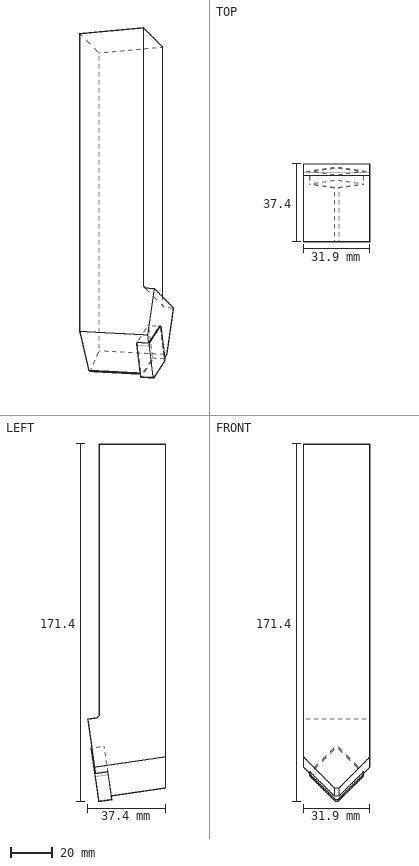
import cadquery as cq
import math

total_height = 171.4
shank_size = 31.9
head_depth = 37.4
head_top_height = 39.5
tilt = 8.3
shoulder_fillet = 1.7

insert_side = 19.0
insert_thickness = 6.3
insert_corner_radius = 1.2
insert_tip_depth = 32.0

flank_clearance = 0.9
nose_flat_width = 2.2

tilt_sin = math.sin(math.radians(tilt))
tilt_cos = math.cos(math.radians(tilt))
tilt_tan = math.tan(math.radians(tilt))
half_width = shank_size / 2

tilted_plane = cq.Plane(
    origin=(0, insert_tip_depth, 0),
    xDir=(-1, 0, 0),
    normal=(0, tilt_cos, -tilt_sin),
)

sharp_corner = -insert_corner_radius * (math.sqrt(2) - 1)
insert_center = sharp_corner + insert_side / math.sqrt(2)


def make_insert():
    """Square insert standing on one rounded corner, lying behind the cutting face."""
    return (
        cq.Workplane(tilted_plane)
        .center(0, insert_center)
        .transformed(rotate=(0, 0, 45))
        .rect(insert_side, insert_side)
        .extrude(-insert_thickness)
        .edges(cq.selectors.ParallelDirSelector(tilted_plane.zDir))
        .fillet(insert_corner_radius)
    )


def make_blank():
    """Shank and head in side profile, with the head standing out behind the shank."""
    shoulder_height = head_top_height + (head_depth - shank_size) * tilt_tan
    foot_depth = head_depth - head_top_height * tilt_tan
    profile = [
        (0, 0),
        (foot_depth, 0),
        (head_depth, head_top_height),
        (shank_size, shoulder_height),
        (shank_size, total_height),
        (0, total_height),
    ]
    blank = cq.Workplane("YZ").polyline(profile).close().extrude(half_width, both=True)
    inner_corner = cq.selectors.NearestToPointSelector((0, shank_size, shoulder_height))
    return blank.edges(inner_corner).fillet(shoulder_fillet)


def make_head_envelope():
    """Pointed prism, square to the tilted face, that bounds the holder from below."""
    flank_apex = sharp_corner + flank_clearance * math.sqrt(2)
    nose_half = nose_flat_width / 2
    outline = [
        (-nose_half, flank_apex + nose_half),
        (nose_half, flank_apex + nose_half),
        (half_width, flank_apex + half_width),
        (half_width, 2 * total_height),
        (-half_width, 2 * total_height),
        (-half_width, flank_apex + half_width),
    ]
    return cq.Workplane(tilted_plane).polyline(outline).close().extrude(total_height, both=True)


insert = make_insert()
holder = make_blank().intersect(make_head_envelope()).cut(insert)

result = cq.Compound.makeCompound([holder.val(), insert.val()])